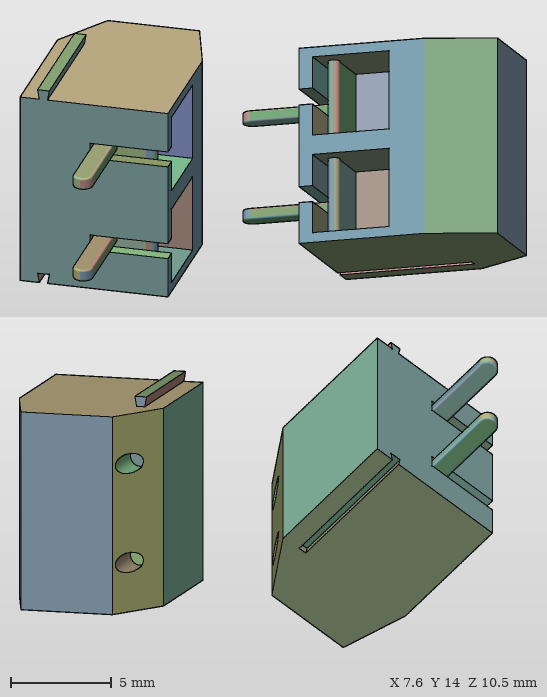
import cadquery as cq
import math

overall_depth = 14
overall_height = 10.5
width = 7.6
depth = 10.0
height = 10.0
pole_pitch = height / 2
pole_heights = [height / 4, height / 4 + pole_pitch]

left_bevel_x = 1.8
left_bevel_y = 2.9
right_bevel_x = 1.08
right_bevel_y = 3.45

dovetail_x = 1.2
dovetail_height = overall_height - height
dovetail_wide = 0.6
dovetail_narrow = 0.42
dovetail_length = 7

bevel_hole_x = dovetail_x
bevel_hole_diameter = 1.0
bevel_hole_depth = left_bevel_y

slot_x = 3.6
slot_height = 0.81
front_wall = 0.7
cavity_depth = 4.0
cavity_height = 4.0

plate_y = 1.06
plate_thickness = 0.6
bend_x = 6.16
lip_end_x = 6.75
lip_end_radius = 0.28
lip_angle = 15
bend_radius = 0.3

pin_left = 3.7
pin_width = 1.01
pin_tip_diameter = 1.0
pin_thickness = 0.6
pin_length = overall_depth - depth
pin_edge_radius = 0.1


def dovetail(base_z):
    """Bar along Y that widens upward from its base."""
    return (
        cq.Workplane("XZ")
        .polyline([
            (dovetail_x - dovetail_narrow / 2, base_z),
            (dovetail_x + dovetail_narrow / 2, base_z),
            (dovetail_x + dovetail_wide / 2, base_z + dovetail_height),
            (dovetail_x - dovetail_wide / 2, base_z + dovetail_height),
        ])
        .close()
        .extrude(-dovetail_length)
    )


def box_to_right_side(y_start, y_end, z_centre, z_size):
    """Box from the slot start to the right side of the housing."""
    return (
        cq.Workplane("XY")
        .box(width - slot_x, y_end - y_start, z_size, centered=(False, False, True))
        .translate((slot_x, y_start, z_centre))
    )


def bevel_hole(z_centre):
    """Blind hole along Y that opens on the left bevel."""
    return (
        cq.Workplane("XZ", origin=(bevel_hole_x, depth, z_centre))
        .circle(bevel_hole_diameter / 2)
        .extrude(bevel_hole_depth)
    )


def make_housing():
    """Bevelled block with its rib, groove, slots, cavities and bevel holes."""
    body = (
        cq.Workplane("XY")
        .polyline([
            (0, 0),
            (width, 0),
            (width, depth - right_bevel_y),
            (width - right_bevel_x, depth),
            (left_bevel_x, depth),
            (0, depth - left_bevel_y),
        ])
        .close()
        .extrude(height)
        .union(dovetail(height))
        .cut(dovetail(0))
    )
    for z in pole_heights:
        body = body.cut(box_to_right_side(0, front_wall, z, slot_height))
        body = body.cut(box_to_right_side(front_wall, front_wall + cavity_depth, z, cavity_height))
        body = body.cut(bevel_hole(z))
    return body


def make_plate(z_centre):
    """Flat plate whose right end bends back into a lip with a rounded end."""
    angle = math.radians(lip_angle)
    back_y = plate_y + plate_thickness
    lip_rise = (lip_end_x - bend_x) * math.tan(angle)
    lip_end = (lip_end_x, plate_y + lip_rise)
    lip_end_back = (
        lip_end_x - plate_thickness * math.sin(angle),
        plate_y + lip_rise + plate_thickness * math.cos(angle),
    )
    bend_back_x = bend_x - plate_thickness * math.tan(angle / 2)

    def edge_at(x, y):
        return cq.selectors.NearestToPointSelector((x, y, z_centre))

    return (
        cq.Workplane("XY", origin=(0, 0, z_centre - cavity_height / 2))
        .polyline([
            (slot_x, plate_y),
            (bend_x, plate_y),
            lip_end,
            lip_end_back,
            (bend_back_x, back_y),
            (slot_x, back_y),
        ])
        .close()
        .extrude(cavity_height)
        .edges(edge_at(bend_x, plate_y))
        .fillet(bend_radius)
        .edges(edge_at(*lip_end))
        .fillet(lip_end_radius)
        .edges(edge_at(*lip_end_back))
        .fillet(lip_end_radius)
    )


def make_pin(z_centre):
    """Flat bar with a round tip and rounded long edges, standing on the plate."""
    return (
        cq.Workplane("XY")
        .box(pin_width, plate_y + pin_length, pin_thickness, centered=(False, False, True))
        .translate((pin_left, -pin_length, z_centre))
        .edges("|Z and <Y")
        .fillet(pin_tip_diameter / 2)
        .faces("<Z or >Z")
        .edges("not >Y")
        .fillet(pin_edge_radius)
    )


housing = make_housing()
plates = [make_plate(z) for z in pole_heights]
pins = [make_pin(z) for z in pole_heights]

result = cq.Compound.makeCompound(
    [housing.val()]
    + [plate.val() for plate in plates]
    + [pin.val() for pin in pins]
)